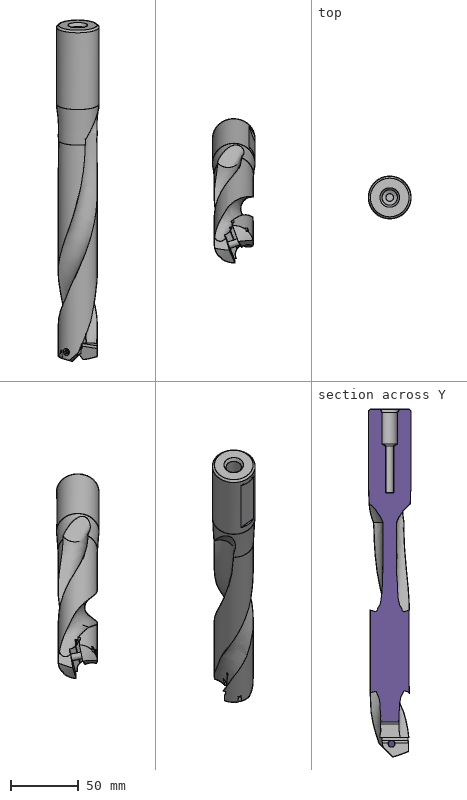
import cadquery as cq
import math


LENGTH = 257.3
SHANK_DIAMETER = 31.6
BODY_DIAMETER = 29.0
SHANK_RADIUS = SHANK_DIAMETER / 2
BODY_RADIUS = BODY_DIAMETER / 2

SHANK_BOTTOM = 196.8
SHANK_CHAMFER = 1.5
NECK_TOP_RADIUS = 15.7
NECK_BOTTOM_RADIUS = 14.7
NECK_BOTTOM = 169.3
NECK_CHAMFER = NECK_BOTTOM_RADIUS - BODY_RADIUS
FLAT_OFFSET = 14.5
FLAT_BOTTOM = 203.2
FLAT_TOP = 251.0

SINK_RADIUS = 7.2
SINK_DEPTH = 2.5
BORE_RADIUS = 5.7
BORE_DEPTH = 25.7
CORE_BORE_RADIUS = 2.8
CORE_BORE_DEPTH = 61.7
DRILLED_TIP_ANGLE = 118.0
BORE_CONE_DEPTH = (BORE_RADIUS - CORE_BORE_RADIUS) / math.tan(math.radians(DRILLED_TIP_ANGLE / 2))

FLUTE_TOP = 173.5
FLUTE_START = -7.7
FLUTE_TOP_ANGLE = 184.5
SECTIONS_PER_STRETCH = 6
HELIX_RATE = 1.71
STRAIGHTENING_START = 92.5
NARROW_END = 33.5
WIDE_START = 52.0
NARROW_CENTRE = 14.5
NARROW_RADIUS = 7.7
WIDE_CENTRE = 15.5
WIDE_RADIUS = 10.3
RUNOUT_HEIGHT = 30.9
RUNOUT_OUTWARD_SLOPE = 0.39
RUNOUT_SIDE_SLOPE = 0.54

POINT_ANGLE = 22.0
HEEL_OFFSET = 2.0
SLOT_WIDTH = 8.5
SLOT_TOP = 14.5
SLOT_HEAD_WIDTH = 10.0
SLOT_HEAD_BOTTOM = 12.0
SLOT_SHOULDER = 10.3
SLIT_WIDTH = 0.39
SLIT_TOP = 25.0
SLIT_EYE_RADIUS = 0.8
POINT_RISE = math.tan(math.radians(POINT_ANGLE))
POINT_APEX = -POINT_RISE * math.hypot(SLOT_WIDTH / 2, HEEL_OFFSET)

OUTLET_RADIUS = 1.3
OUTLET_ANGLE = 243.5
OUTLET_TOP = 9.5
OUTLET_TILT = 20.0
OUTLET_LENGTH = 12.9

SCREW_RADIUS = 2.5
SCREW_X = -1.3
SCREW_Z = 9.8
SCREW_HEAD_Y = -14.0
SCREW_TIP_Y = 10.3
SOCKET_SIZE = 3.0
SOCKET_DEPTH = 2.0

CUT_SIZE = 51.5


def turned_blank():
    """Revolved outline of the point, body, neck and shank."""
    cone_top = POINT_APEX + POINT_RISE * BODY_RADIUS
    return (
        cq.Workplane("XZ")
        .moveTo(0, POINT_APEX)
        .lineTo(BODY_RADIUS, cone_top)
        .lineTo(BODY_RADIUS, NECK_BOTTOM - NECK_CHAMFER)
        .lineTo(NECK_BOTTOM_RADIUS, NECK_BOTTOM)
        .lineTo(NECK_TOP_RADIUS, SHANK_BOTTOM)
        .lineTo(SHANK_RADIUS, SHANK_BOTTOM)
        .lineTo(SHANK_RADIUS, LENGTH - SHANK_CHAMFER)
        .lineTo(SHANK_RADIUS - SHANK_CHAMFER, LENGTH)
        .lineTo(0, LENGTH)
        .close()
        .revolve(360, (0, 0, 0), (0, 1, 0))
    )


def shank_bore():
    """Countersunk bore from the shank end, with a narrower bore below it."""
    bore_bottom = LENGTH - BORE_DEPTH
    return (
        cq.Workplane("XZ")
        .moveTo(0, LENGTH)
        .lineTo(SINK_RADIUS, LENGTH)
        .lineTo(BORE_RADIUS, LENGTH - SINK_DEPTH)
        .lineTo(BORE_RADIUS, bore_bottom)
        .lineTo(CORE_BORE_RADIUS, bore_bottom - BORE_CONE_DEPTH)
        .lineTo(CORE_BORE_RADIUS, LENGTH - CORE_BORE_DEPTH)
        .lineTo(0, LENGTH - CORE_BORE_DEPTH)
        .close()
        .revolve(360, (0, 0, 0), (0, 1, 0))
    )


def shank_flat():
    """Block that cuts the clamping flat on the +Y side of the shank."""
    return (
        cq.Workplane("XY", origin=(0, FLAT_OFFSET + CUT_SIZE / 2, FLAT_BOTTOM))
        .rect(CUT_SIZE, CUT_SIZE)
        .extrude(FLAT_TOP - FLAT_BOTTOM)
    )


def flute_angle(z):
    """Direction the flute faces at height z, in degrees from +X."""
    straightening = FLUTE_TOP - STRAIGHTENING_START
    left_to_turn = HELIX_RATE * (FLUTE_TOP - max(z, STRAIGHTENING_START)) ** 2 / (2 * straightening)
    left_to_turn += HELIX_RATE * max(STRAIGHTENING_START - z, 0)
    return FLUTE_TOP_ANGLE - left_to_turn


def groove_circle(z):
    """Cross-section of the flute at height z."""
    wideness = min(max((z - NARROW_END) / (WIDE_START - NARROW_END), 0), 1)
    centre = NARROW_CENTRE + wideness * (WIDE_CENTRE - NARROW_CENTRE)
    radius = NARROW_RADIUS + wideness * (WIDE_RADIUS - NARROW_RADIUS)
    circle = cq.Wire.makeCircle(radius, cq.Vector(centre, 0, z), cq.Vector(0, 0, 1))
    return circle.rotate(cq.Vector(0, 0, 0), cq.Vector(0, 0, 1), flute_angle(z))


def flute_stretch(bottom, top):
    """Smooth helical piece of the flute between two heights."""
    rise = (top - bottom) / SECTIONS_PER_STRETCH
    circles = [groove_circle(bottom + rise * i) for i in range(SECTIONS_PER_STRETCH + 1)]
    return cq.Workplane(cq.occ_impl.shapes.loft(circles, cap=True, compat=False))


def flute():
    """Pieces of one flute from the point to its slanted end."""
    ends = [FLUTE_START, NARROW_END, WIDE_START, FLUTE_TOP]
    return [flute_stretch(bottom, top) for bottom, top in zip(ends, ends[1:])] + [flute_runout()]


def flute_runout():
    """Slanted end of the flute, leaning outward and along the helix."""
    lower = groove_circle(FLUTE_TOP)
    angle = math.radians(FLUTE_TOP_ANGLE)
    outward = cq.Vector(math.cos(angle), math.sin(angle), 0)
    sideways = cq.Vector(-math.sin(angle), math.cos(angle), 0)
    lean = outward * RUNOUT_OUTWARD_SLOPE + sideways * RUNOUT_SIDE_SLOPE + cq.Vector(0, 0, 1)
    upper = lower.translate(lean * RUNOUT_HEIGHT)
    return cq.Workplane(cq.occ_impl.shapes.loft([lower, upper], cap=True, compat=False))


def heel_relief():
    """Wedge below the 45 degree plane that trims the heel of the -Y land."""
    return (
        cq.Workplane("XZ")
        .moveTo(-CUT_SIZE, HEEL_OFFSET - CUT_SIZE)
        .lineTo(CUT_SIZE, HEEL_OFFSET + CUT_SIZE)
        .lineTo(CUT_SIZE, HEEL_OFFSET - CUT_SIZE)
        .close()
        .extrude(CUT_SIZE)
    )


def coolant_outlet():
    """Short hole that leans outward and breaks through the outside of the land."""
    return (
        cq.Workplane("XY")
        .circle(OUTLET_RADIUS)
        .extrude(-OUTLET_LENGTH)
        .rotate((0, 0, 0), (0, 1, 0), -OUTLET_TILT)
        .translate((BODY_RADIUS - OUTLET_RADIUS, 0, OUTLET_TOP))
        .rotate((0, 0, 0), (0, 0, 1), OUTLET_ANGLE)
    )


def insert_slot():
    """Slot along X with a wider head and a slit that ends in a round eye."""
    neck = SLOT_WIDTH / 2
    head = SLOT_HEAD_WIDTH / 2
    slit = SLIT_WIDTH / 2
    half_slot = (
        cq.Workplane("YZ")
        .moveTo(neck, -CUT_SIZE)
        .lineTo(neck, SLOT_SHOULDER)
        .lineTo(head, SLOT_HEAD_BOTTOM)
        .lineTo(head, SLOT_TOP)
        .lineTo(slit, SLOT_TOP)
        .lineTo(slit, SLIT_TOP)
        .lineTo(0, SLIT_TOP)
        .lineTo(0, -CUT_SIZE)
        .close()
        .extrude(CUT_SIZE / 2, both=True)
    )
    eye = (
        cq.Workplane("YZ", origin=(0, 0, SLIT_TOP))
        .circle(SLIT_EYE_RADIUS)
        .extrude(CUT_SIZE / 2, both=True)
    )
    return half_slot.union(half_slot.mirror("XZ")).union(eye)


def screw_cylinder(head_y):
    """Cylinder along Y from the tip of the screw to head_y."""
    return (
        cq.Workplane("XZ", origin=(SCREW_X, SCREW_TIP_Y, SCREW_Z))
        .circle(SCREW_RADIUS)
        .extrude(SCREW_TIP_Y - head_y)
    )


def build_drill():
    """Drill body; the flutes and what goes with them repeat on the opposite side."""
    drill = turned_blank().cut(shank_bore()).cut(shank_flat())
    for side in (0, 180):
        for feature in flute() + [heel_relief(), coolant_outlet()]:
            drill = drill.cut(feature.rotate((0, 0, 0), (0, 0, 1), side))
    return drill.cut(insert_slot()).cut(screw_cylinder(-CUT_SIZE))


def build_screw():
    """Clamping screw with a hexagon socket in its head."""
    socket = (
        cq.Workplane("XZ", origin=(SCREW_X, SCREW_HEAD_Y, SCREW_Z))
        .polygon(6, SOCKET_SIZE)
        .extrude(-SOCKET_DEPTH)
    )
    return screw_cylinder(SCREW_HEAD_Y).cut(socket)


drill = build_drill()
screw = build_screw()
result = cq.Compound.makeCompound([drill.val(), screw.val()])